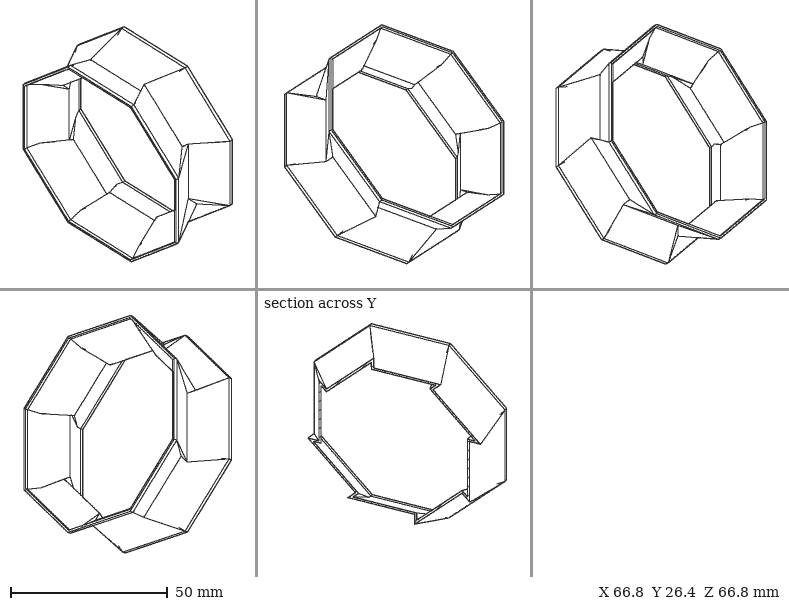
import cadquery as cq
import math

SIDES = 8
ACROSS_FLATS = 66.78
WIDTH = 26.4
RIM_WIDTH = 1.2
WALL = 0.7
FOLD_DEPTH = 7.0
FOLD_END = 7.15

SECTOR = 2 * math.pi / SIDES
HALF_SECTOR_TAN = math.tan(SECTOR / 2)
RIM_APOTHEM = ACROSS_FLATS / 2
HALF_SIDE = RIM_APOTHEM * HALF_SECTOR_TAN
FOLD_APOTHEM = RIM_APOTHEM - FOLD_DEPTH
HALF_WIDTH = WIDTH / 2
RIM_EDGE_Y = HALF_WIDTH - RIM_WIDTH

PANEL_SLOPE = FOLD_DEPTH / RIM_EDGE_Y
STEP_SLOPE = (HALF_SIDE - FOLD_END) / RIM_EDGE_Y

INNER_RIM_APOTHEM = RIM_APOTHEM - WALL
INNER_FOLD_APOTHEM = FOLD_APOTHEM - WALL * math.hypot(1, PANEL_SLOPE)
INNER_FOLD_END = FOLD_END + WALL * math.hypot(1, STEP_SLOPE)
INNER_RIM_EDGE_Y = (INNER_RIM_APOTHEM - INNER_FOLD_APOTHEM) / PANEL_SLOPE

STEP_TIP_Y = (INNER_FOLD_APOTHEM * HALF_SECTOR_TAN - INNER_FOLD_END) / (
    STEP_SLOPE - PANEL_SLOPE * HALF_SECTOR_TAN
)
STEP_TIP_APOTHEM = INNER_FOLD_APOTHEM + STEP_TIP_Y * PANEL_SLOPE


def on_side(side, along, outward, y):
    """Point given along and outward from the axis on one side, counted clockwise from +Z."""
    angle = side * SECTOR
    x = along * math.cos(angle) + outward * math.sin(angle)
    z = outward * math.cos(angle) - along * math.sin(angle)
    return cq.Vector(x, y, z)


def corner(side, apothem, y):
    """Corner of a regular octagon with this apothem at the clockwise end of a side."""
    return on_side(side, apothem * HALF_SECTOR_TAN, apothem, y)


def step_foot(side, fold_end, fold_apothem):
    """Waist point where the fold line of a side ends at the foot of a step."""
    return on_side(side, fold_end, fold_apothem, 0)


def step_top(side, fold_end, fold_apothem):
    """Waist point where that step, square to its own fold line, meets the next fold line."""
    height = (fold_apothem - fold_end * math.sin(SECTOR)) / math.cos(SECTOR)
    return on_side(side, fold_end, height, 0)


def flat_face(*corners):
    return cq.Face.makeFromWires(cq.Wire.makePolygon(corners, close=True))


def solid_from(side_faces, rim_apothem):
    """Solid closed by the faces of all sides at both ends and by the two octagonal end faces."""
    faces = []
    for end in (-1, 1):
        for side in range(SIDES):
            faces += side_faces(side, end)
        end_corners = [corner(side, rim_apothem, end * HALF_WIDTH) for side in range(SIDES)]
        faces.append(flat_face(*end_corners))
    return cq.Solid.makeSolid(cq.Shell.makeShell(faces))


def rim_face(side, end, apothem, edge_y):
    return flat_face(
        corner(side - 1, apothem, end * edge_y),
        corner(side, apothem, end * edge_y),
        corner(side, apothem, end * HALF_WIDTH),
        corner(side - 1, apothem, end * HALF_WIDTH),
    )


def outer_faces(side, end):
    """Rim strip, sloping panel and step triangle of the outside, at the end with this sign of Y."""
    start_corner = corner(side - 1, RIM_APOTHEM, end * RIM_EDGE_Y)
    end_corner = corner(side, RIM_APOTHEM, end * RIM_EDGE_Y)
    previous_top = step_top(side - 1, FOLD_END, FOLD_APOTHEM)
    foot = step_foot(side, FOLD_END, FOLD_APOTHEM)
    top = step_top(side, FOLD_END, FOLD_APOTHEM)
    return [
        rim_face(side, end, RIM_APOTHEM, RIM_EDGE_Y),
        flat_face(start_corner, end_corner, foot, previous_top),
        flat_face(end_corner, foot, top),
    ]


def inner_faces(side, end):
    """The same faces of the inside, where each step stops at its tip short of the rim."""
    start_corner = corner(side - 1, INNER_RIM_APOTHEM, end * INNER_RIM_EDGE_Y)
    end_corner = corner(side, INNER_RIM_APOTHEM, end * INNER_RIM_EDGE_Y)
    previous_tip = corner(side - 1, STEP_TIP_APOTHEM, end * STEP_TIP_Y)
    tip = corner(side, STEP_TIP_APOTHEM, end * STEP_TIP_Y)
    previous_top = step_top(side - 1, INNER_FOLD_END, INNER_FOLD_APOTHEM)
    foot = step_foot(side, INNER_FOLD_END, INNER_FOLD_APOTHEM)
    top = step_top(side, INNER_FOLD_END, INNER_FOLD_APOTHEM)
    return [
        rim_face(side, end, INNER_RIM_APOTHEM, INNER_RIM_EDGE_Y),
        flat_face(start_corner, end_corner, tip, foot, previous_top, previous_tip),
        flat_face(tip, foot, top),
    ]


body = solid_from(outer_faces, RIM_APOTHEM)
cavity = solid_from(inner_faces, INNER_RIM_APOTHEM)
result = cq.Workplane(body).cut(cq.Workplane(cavity))